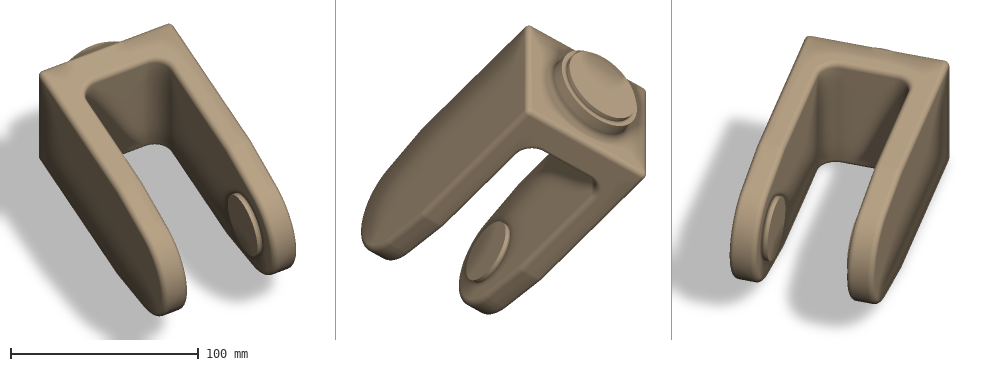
import cadquery as cq
import math

length = 163.0
width = 80.0
height = 70.0

stem_length = 13.0
stem_diameter = 50.0
tip_diameter = 44.0
tip_length = 3.0

slot_width = 50.0
slot_floor_x = 33.0
slot_corner_radius = 10.0
nose_radius = 30.0
taper_angle = math.radians(10)
shoulder_radius = 10.0
edge_radius = 3.0

pad_diameter = 35.0
pad_height = 3.0

select_margin = 0.2

nose_x = length - nose_radius
tangent_x = nose_x + nose_radius * math.sin(taper_angle)
tangent_z = nose_radius * math.cos(taper_angle)
shoulder_x = tangent_x - (height / 2 - tangent_z) / math.tan(taper_angle)


def make_body():
    """Block with a tapered, rounded nose, centred on the X axis."""
    outline = (
        cq.Workplane("XZ")
        .moveTo(stem_length, -height / 2)
        .lineTo(shoulder_x, -height / 2)
        .lineTo(tangent_x, -tangent_z)
        .threePointArc((length, 0), (tangent_x, tangent_z))
        .lineTo(shoulder_x, height / 2)
        .lineTo(stem_length, height / 2)
        .close()
    )
    body = outline.extrude(width / 2, both=True)
    shoulders = cq.selectors.BoxSelector(
        (shoulder_x - select_margin, -width, -height), (shoulder_x + select_margin, width, height)
    )
    return body.edges("|Y").edges(shoulders).fillet(shoulder_radius)


def make_slot():
    """Cutter for the gap between the arms, with rounded floor corners."""
    return (
        cq.Workplane("XY")
        .box(length, slot_width, height, centered=(False, True, True))
        .edges("|Z and <X")
        .fillet(slot_corner_radius)
        .translate((slot_floor_x, 0, 0))
    )


def make_stem():
    """Stepped round stem that reaches back to the block face."""
    tip = cq.Workplane("YZ").circle(tip_diameter / 2).extrude(stem_length)
    collar = (
        cq.Workplane("YZ", origin=(tip_length, 0, 0))
        .circle(stem_diameter / 2)
        .extrude(stem_length - tip_length)
    )
    return tip.union(collar)


def make_pad(side):
    """Pad on the inner face of the arm at +Y (side = 1) or -Y (side = -1)."""
    return (
        cq.Workplane("XZ", origin=(nose_x, side * slot_width / 2, 0))
        .circle(pad_diameter / 2)
        .extrude(side * pad_height)
    )


fork = make_body().cut(make_slot())
fork = fork.faces("<X or <Y or >Y").edges().fillet(edge_radius)
slot_rims = cq.selectors.BoxSelector(
    (slot_floor_x - select_margin, -slot_width / 2 - select_margin, -height),
    (length + select_margin, slot_width / 2 + select_margin, height),
    boundingbox=True,
)
fork = fork.edges(slot_rims).edges("not(|Z)").fillet(edge_radius)

stem_root = cq.selectors.BoxSelector(
    (stem_length - select_margin, -stem_diameter, -stem_diameter),
    (stem_length + select_margin, stem_diameter, stem_diameter),
)
result = fork.union(make_stem())
result = result.edges(stem_root).edges("%CIRCLE").fillet(edge_radius)
for arm_side in (1, -1):
    result = result.union(make_pad(arm_side))